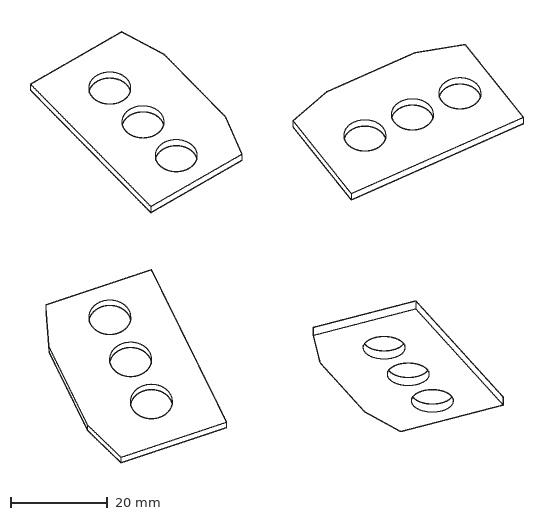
import cadquery as cq

length = 41.4
width = 26.9
thickness = 2.0

corner_run = 10.1
corner_drop = 3.35

hole_diameter = 8.65
hole_count = 3
hole_pitch = 11.43
middle_hole_x = 22.1
hole_row_y = 12.45

plate = (
    cq.Workplane("XY")
    .moveTo(0, 0)
    .lineTo(length, 0)
    .lineTo(length, width - corner_drop)
    .lineTo(length - corner_run, width)
    .lineTo(corner_run, width)
    .lineTo(0, width - corner_drop)
    .close()
    .extrude(thickness)
)

holes = (
    cq.Workplane("XY")
    .center(middle_hole_x, hole_row_y)
    .rarray(hole_pitch, 0.4, hole_count, 1)
    .circle(hole_diameter / 2)
    .extrude(thickness)
)

result = plate.cut(holes)